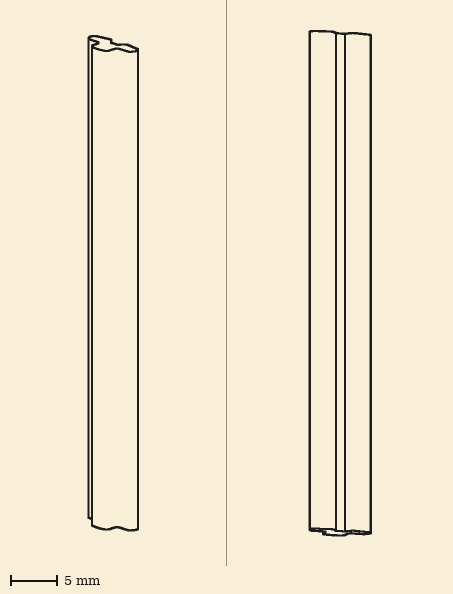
import cadquery as cq

length = 55.0

stem_half_width = 1.25
stem_corner_radius = 0.5
stem_crown = 0.2

wing_underside = 1.7
inner_fillet_radius = 0.45
side_bottom_x = 3.15
side_bottom_radius = 0.45
tip_corner_x = 3.8
tip_corner_height = 2.9
tip_radius = 0.55

notch_floor_half_width = 0.5
notch_floor_height = 2.6
notch_top_half_width = 1.15
wing_peak_height = 3.35
wing_peak_radius = 0.5


def mirrored(points):
    """Reflect an outline across the YZ plane, reversing its order."""
    return [(-x, y) for x, y in reversed(points)]


def upright_edges(corner):
    """Select the two upright edges at an outline corner and its mirror image."""
    x, y = corner
    margin = 0.005
    right, left = [
        cq.selectors.BoxSelector(
            (edge_x - margin, y - margin, -margin),
            (edge_x + margin, y + margin, length + margin),
        )
        for edge_x in (x, -x)
    ]
    return right + left


stem_corner = (stem_half_width, stem_crown)
inner_corner = (stem_half_width, wing_underside)
side_bottom = (side_bottom_x, wing_underside)
tip = (tip_corner_x, tip_corner_height)
peak = (notch_top_half_width, wing_peak_height)
notch_floor = (notch_floor_half_width, notch_floor_height)

right_side = [stem_corner, inner_corner, side_bottom, tip, peak, notch_floor]
outline = right_side + mirrored(right_side)

profile = cq.Workplane("XY").polyline(outline).threePointArc((0, 0), stem_corner).close()
result = profile.extrude(length)

rounded_corners = [
    (stem_corner, stem_corner_radius),
    (inner_corner, inner_fillet_radius),
    (side_bottom, side_bottom_radius),
    (tip, tip_radius),
    (peak, wing_peak_radius),
]
for corner, radius in rounded_corners:
    result = result.edges(upright_edges(corner)).fillet(radius)